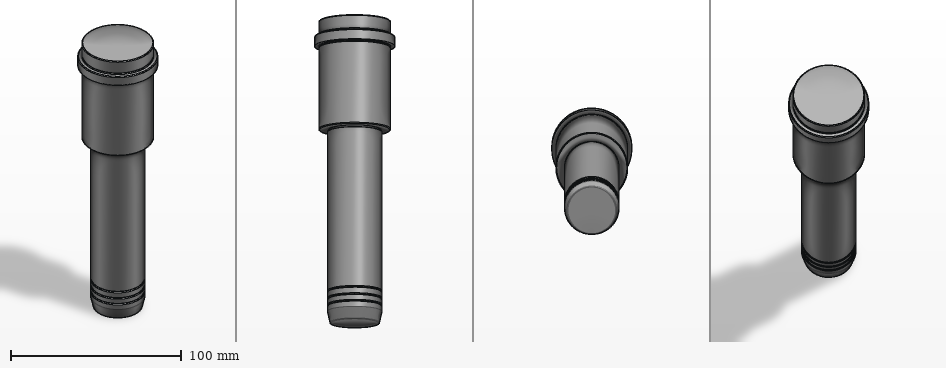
import cadquery as cq

total_length = 180.0

head_radius = 42.1 / 2
head_bottom = 115.2
head_edge_chamfer = 0.5
flange_radius = 47.0 / 2
flange_top = 171.0
flange_thickness = 6.0
flange_edge_chamfer = 0.5
relief_width = 1.0
relief_depth = 0.5

shaft_radius = 32.0 / 2
neck_depth = 0.5
neck_length = 1.0
taper_length = 7.0
tip_radius = 14.4
tip_fillet = 0.5

groove_width = 1.0
groove_depth = 0.5
groove_bottoms = (10.0, 14.0, 18.4)


def cylinder(radius, bottom, height):
    return cq.Workplane("XY").workplane(offset=bottom).circle(radius).extrude(height)


def neck_ring():
    """Ring of material removed from the shaft just below the head."""
    bottom = head_bottom - neck_length
    return cylinder(shaft_radius, bottom, neck_length).cut(
        cylinder(shaft_radius - neck_depth, bottom, neck_length)
    )


def v_ring(outer_radius, depth, bottom, width):
    """Triangular ring that cuts a V groove into a cylinder."""
    return (
        cq.Workplane("XZ")
        .moveTo(outer_radius, bottom)
        .lineTo(outer_radius - depth, bottom + width / 2)
        .lineTo(outer_radius, bottom + width)
        .close()
        .revolve(360, (0, 0), (0, 1))
    )


def make_shaft():
    shaft = (
        cq.Workplane("XZ")
        .lineTo(tip_radius, 0)
        .lineTo(shaft_radius, taper_length)
        .lineTo(shaft_radius, head_bottom)
        .lineTo(0, head_bottom)
        .close()
        .revolve(360, (0, 0), (0, 1))
        .faces("<Z")
        .edges()
        .fillet(tip_fillet)
    )
    shaft = shaft.cut(neck_ring())
    for bottom in groove_bottoms:
        shaft = shaft.cut(v_ring(shaft_radius, groove_depth, bottom, groove_width))
    return shaft


def make_head():
    head = cylinder(head_radius, head_bottom, total_length - head_bottom)
    head = head.faces("<Z or >Z").edges().chamfer(head_edge_chamfer)
    flange_bottom = flange_top - flange_thickness
    for bottom in (flange_top, flange_bottom - relief_width):
        head = head.cut(v_ring(head_radius, relief_depth, bottom, relief_width))
    flange = cylinder(flange_radius, flange_bottom, flange_thickness)
    flange = flange.faces(">Z").edges().chamfer(flange_edge_chamfer)
    return head.union(flange)


result = make_shaft().union(make_head())